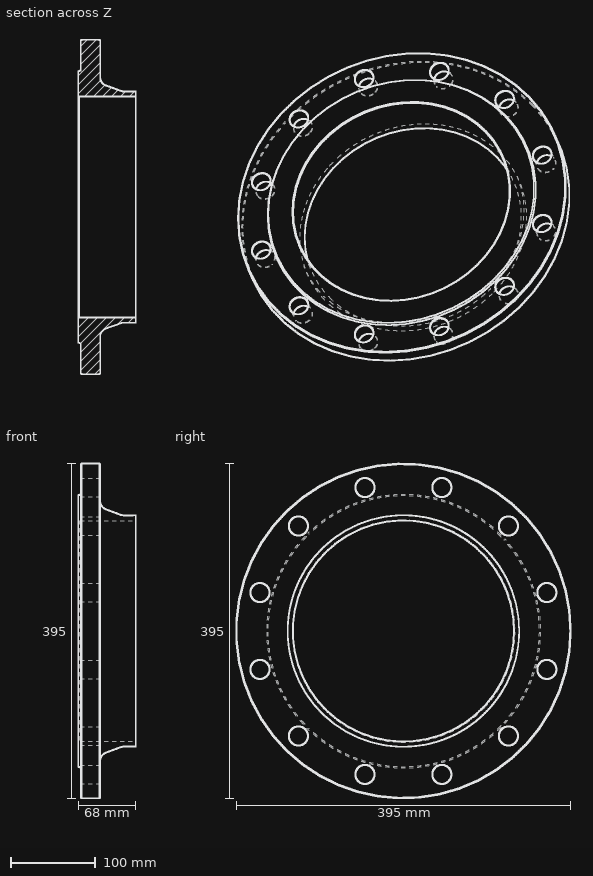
import cadquery as cq

flange_diameter = 395.0
overall_length = 68.0
flange_thickness = 26.0
rim_chamfer = 1.0

raised_face_diameter = 320.0
raised_face_height = 3.0
raised_face_flare = 1.5

bore_diameter = 260.4
bore_chamfer = 1.0
pipe_diameter = 273.0
pipe_length = 16.0
hub_diameter = 292.0
hub_fillet = 10.0
weld_end_fillet = 10.0

bolt_circle_diameter = 350.0
bolt_hole_diameter = 22.0
bolt_hole_chamfer = 0.5
bolt_count = 12


def make_body():
    """Revolve the flange half section about the X axis."""
    bore_radius = bore_diameter / 2
    face_radius = raised_face_diameter / 2
    flange_radius = flange_diameter / 2
    hub_radius = hub_diameter / 2
    pipe_radius = pipe_diameter / 2
    section = (
        cq.Workplane("XY")
        .moveTo(bore_chamfer, bore_radius)
        .lineTo(0, bore_radius + bore_chamfer)
        .lineTo(0, face_radius)
        .lineTo(raised_face_height, face_radius + raised_face_flare)
        .lineTo(raised_face_height, flange_radius - rim_chamfer)
        .lineTo(raised_face_height + rim_chamfer, flange_radius)
        .lineTo(flange_thickness - rim_chamfer, flange_radius)
        .lineTo(flange_thickness, flange_radius - rim_chamfer)
        .lineTo(flange_thickness, hub_radius)
        .lineTo(overall_length - pipe_length, pipe_radius)
        .lineTo(overall_length, pipe_radius)
        .lineTo(overall_length, bore_radius)
        .close()
    )
    return section.revolve(360, (0, 0, 0), (1, 0, 0))


def is_ring(edge, radius, tolerance=0.01):
    """Tell whether an edge is a circle of the given radius."""
    return edge.geomType() == "CIRCLE" and abs(edge.radius() - radius) < tolerance


def round_hub(body):
    """Blend the hub cone into the flange back and into the weld end."""
    hub_base = body.edges().filter(lambda edge: is_ring(edge, hub_diameter / 2))
    body = hub_base.fillet(hub_fillet)
    weld_end_rings = body.edges().filter(lambda edge: is_ring(edge, pipe_diameter / 2))
    return weld_end_rings.edges("<X").fillet(weld_end_fillet)


def drill_bolt_holes(body):
    """Drill the through holes straddling the Y and Z axes and chamfer their ends."""
    half_pitch = 180 / bolt_count
    hole_radius = bolt_hole_diameter / 2
    holes = (
        cq.Workplane("YZ")
        .polarArray(bolt_circle_diameter / 2, half_pitch, 360, bolt_count, rotate=False)
        .circle(hole_radius)
        .extrude(flange_thickness)
    )
    body = body.cut(holes)
    hole_ends = body.edges().filter(lambda edge: is_ring(edge, hole_radius))
    return hole_ends.chamfer(bolt_hole_chamfer)


body = make_body()
body = round_hub(body)
result = drill_bolt_holes(body)